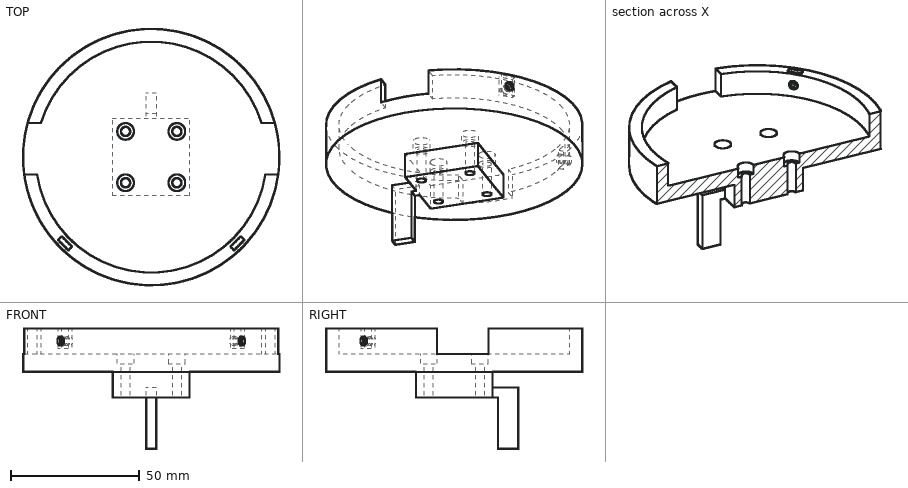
import cadquery as cq
import math

tray_diameter = 100.0
tray_height = 17.0
wall_thickness = 5.0
recess_depth = 10.0
floor_height = tray_height - recess_depth

opening_width = 20.0
opening_center_y = 3.3

block_side = 30.0
block_height = 10.0

hook_width = 4.0
hook_reach = 10.0
hook_arm_height = 4.0
hook_leg_depth = 8.0
hook_drop = 20.0

screw_spacing = 20.0
screw_diameter = 3.5
head_diameter = 6.5
head_depth = 4.0

set_screw_angles = (225, 315)
set_screw_diameter = 3.5
set_screw_height = tray_height - recess_depth / 2
nut_width = 5.7
nut_thickness = 2.0
nut_slot_bottom = set_screw_height - nut_width / 2

tray_radius = tray_diameter / 2
inner_radius = tray_radius - wall_thickness
wall_middle_radius = tray_radius - wall_thickness / 2


def box_between(x_range, y_range, z_range):
    """Box spanning the given low and high limits on each axis."""
    (x0, x1), (y0, y1), (z0, z1) = x_range, y_range, z_range
    return cq.Workplane("XY").box(x1 - x0, y1 - y0, z1 - z0, centered=False).translate((x0, y0, z0))


def make_tray():
    tray = cq.Workplane("XY").circle(tray_radius).extrude(tray_height)
    recess = cq.Workplane("XY", origin=(0, 0, floor_height)).circle(inner_radius).extrude(recess_depth)
    opening = box_between(
        (-tray_radius, tray_radius),
        (opening_center_y - opening_width / 2, opening_center_y + opening_width / 2),
        (floor_height, tray_height),
    )
    return tray.cut(recess).cut(opening)


def make_block():
    return cq.Workplane("XY").rect(block_side, block_side).extrude(-block_height)


def make_hook():
    block_face = block_side / 2
    tip = block_face + hook_reach
    x_range = (-hook_width / 2, hook_width / 2)
    arm_top = hook_arm_height - block_height
    arm = box_between(x_range, (block_face, tip), (-block_height, arm_top))
    leg = box_between(x_range, (tip - hook_leg_depth, tip), (-block_height - hook_drop, arm_top))
    return arm.union(leg)


def cut_screw_holes(body):
    return (
        body.cut(
            cq.Workplane("XY", origin=(0, 0, -block_height))
            .rarray(screw_spacing, screw_spacing, 2, 2)
            .circle(screw_diameter / 2)
            .extrude(block_height + floor_height)
        )
        .cut(
            cq.Workplane("XY", origin=(0, 0, floor_height))
            .rarray(screw_spacing, screw_spacing, 2, 2)
            .circle(head_diameter / 2)
            .extrude(-head_depth)
        )
    )


def make_set_screw_cut(angle):
    direction = (math.cos(math.radians(angle)), math.sin(math.radians(angle)), 0)
    start_radius = inner_radius - wall_thickness
    start = (start_radius * direction[0], start_radius * direction[1], set_screw_height)
    hole = (
        cq.Workplane(cq.Plane(origin=start, normal=direction))
        .circle(set_screw_diameter / 2)
        .extrude(tray_radius + wall_thickness - start_radius)
    )
    nut_slot = box_between(
        (wall_middle_radius - nut_thickness / 2, wall_middle_radius + nut_thickness / 2),
        (-nut_width / 2, nut_width / 2),
        (nut_slot_bottom, tray_height),
    ).rotate((0, 0, 0), (0, 0, 1), angle)
    return hole.union(nut_slot)


result = make_tray().union(make_block()).union(make_hook())
result = cut_screw_holes(result)
for screw_angle in set_screw_angles:
    result = result.cut(make_set_screw_cut(screw_angle))